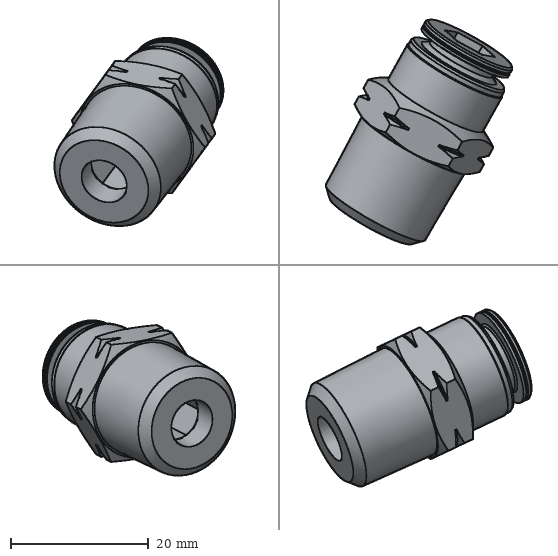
import cadquery as cq
import math

length = 29.87

bore_radius = 3.52
nose_radius = 6.9
nose_chamfer_length = 1.4
thread_tip_radius = 8.3
thread_root_radius = 8.57

hex_across_flats = 18.0
hex_corner_radius = hex_across_flats / math.sqrt(3)
hex_front = 13.05
hex_back = 19.5
hex_front_face_radius = 8.9
hex_chamfer_slope = math.tan(math.radians(30))

notch_center = 15.92
notch_floor_radius = 9.35
notch_mouth_width = 1.4
notch_floor_width = 0.27

body_radius = 7.9
body_end = 25.3
collar_radius = 7.77
collar_bevel_length = 0.12
collar_end = 26.52
collar_chamfer_length = 0.4
collar_chamfer_depth = 0.25

neck_radius = 5.2
neck_start = 27.15
neck_foot_radius = 6.18
flange_radius = 7.23
flange_front = 28.32
neck_fillet = 0.27
flange_chamfer = 0.3
groove_center = 28.95
groove_width = 0.35
groove_depth = 0.18

bore_length = 4.0
passage_across_flats = 7.17


def make_turned_body():
    """Everything round about the axis, including the bore."""
    outline = (
        cq.Workplane("XY")
        .moveTo(bore_radius, 0)
        .lineTo(nose_radius, 0)
        .lineTo(thread_tip_radius, nose_chamfer_length)
        .lineTo(thread_root_radius, hex_front)
        .lineTo(body_radius, hex_front)
        .lineTo(body_radius, body_end)
        .lineTo(collar_radius, body_end + collar_bevel_length)
        .lineTo(collar_radius, collar_end - collar_chamfer_length)
        .lineTo(collar_radius - collar_chamfer_depth, collar_end)
        .lineTo(neck_foot_radius, collar_end)
        .lineTo(neck_radius, neck_start)
        .lineTo(neck_radius, flange_front - neck_fillet)
        .lineTo(neck_radius + neck_fillet, flange_front)
        .lineTo(flange_radius, flange_front)
        .lineTo(flange_radius, groove_center - groove_width / 2)
        .lineTo(flange_radius - groove_depth, groove_center)
        .lineTo(flange_radius, groove_center + groove_width / 2)
        .lineTo(flange_radius, length - flange_chamfer)
        .lineTo(flange_radius - flange_chamfer, length)
        .lineTo(bore_radius, length)
        .close()
    )
    return outline.revolve(360, (0, 0, 0), (0, 1, 0))


def make_chamfer_envelope():
    """Double cone whose overlap with the hexagon chamfers its corners."""
    front_rise = (hex_corner_radius - hex_front_face_radius) * hex_chamfer_slope
    back_drop = (hex_corner_radius - body_radius) * hex_chamfer_slope
    outline = (
        cq.Workplane("XY")
        .moveTo(bore_radius, hex_front)
        .lineTo(hex_front_face_radius, hex_front)
        .lineTo(hex_corner_radius, hex_front + front_rise)
        .lineTo(hex_corner_radius, hex_back - back_drop)
        .lineTo(body_radius, hex_back)
        .lineTo(bore_radius, hex_back)
        .close()
    )
    return outline.revolve(360, (0, 0, 0), (0, 1, 0))


def make_notch_ring():
    """Blunt V ring; only the hexagon's corners reach out far enough to meet it."""
    half_floor = notch_floor_width / 2
    half_mouth = notch_mouth_width / 2
    outline = (
        cq.Workplane("XY")
        .moveTo(notch_floor_radius, notch_center - half_floor)
        .lineTo(hex_corner_radius, notch_center - half_mouth)
        .lineTo(hex_corner_radius, notch_center + half_mouth)
        .lineTo(notch_floor_radius, notch_center + half_floor)
        .close()
    )
    return outline.revolve(360, (0, 0, 0), (0, 1, 0))


def make_hex_prism(across_flats, start, end):
    """Hexagonal prism along Y with two corners on the X axis."""
    corner_diameter = 2 * across_flats / math.sqrt(3)
    return (
        cq.Workplane("XZ", origin=(0, start, 0))
        .polygon(6, corner_diameter)
        .extrude(start - end)
    )


def make_hexagon():
    """Chamfered hexagon with a notch in each corner, open around the bore."""
    prism = make_hex_prism(hex_across_flats, hex_front, hex_back)
    return prism.intersect(make_chamfer_envelope()).cut(make_notch_ring())


passage = make_hex_prism(passage_across_flats, bore_length, length)
result = make_turned_body().union(make_hexagon()).cut(passage)